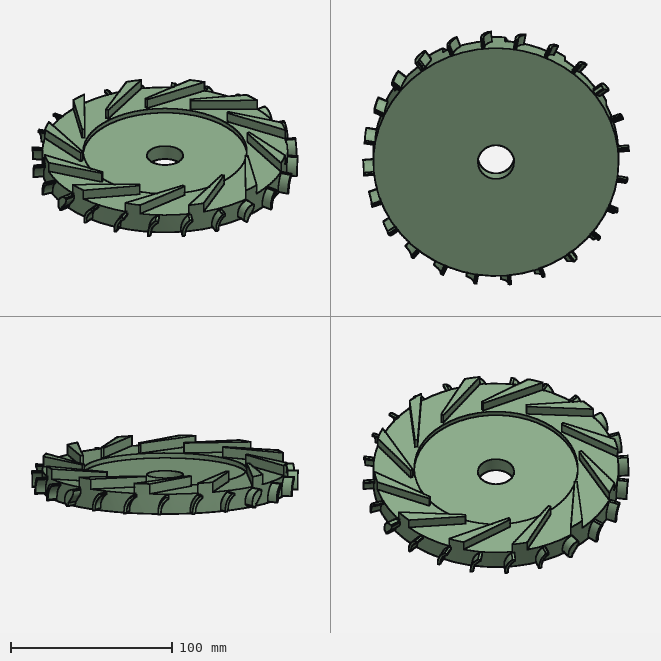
import cadquery as cq
import math

outer_radius = 82.5
disc_diameter = 152.4
disc_radius = disc_diameter / 2
disc_height = 12.7
bore_radius = 11.2
recess_radius = 50.9
recess_depth = 3.1

rib_count = 12
rib_top = 19.0
rib_start = 23.5
rib_offset = 48.4
rib_tip_width = 1.7
rib_taper = 8.5

blade_count = 24
blades_per_thick_blade = 6
blade_bottom = 0.8
blade_top = 11.9
blade_tip_side = 4.5
blade_root_overlap = 3.3

thin_left_side = -2.0
thin_foot_height = 1.7
thin_arc_radius = 11.9
thin_thickness = 1.8
thin_heel_chamfer = 0.8

thick_left_side = -3.3
thick_back_radius = 7.1
thick_tip_round_top = 11.0
thick_tip_round_end = (3.3, 7.5)
thick_front_foot = (0.0, 3.1)
thick_heel_front = (-0.3, 2.0)
thick_heel_width = 0.7
thick_heel_center = -1.2
thick_heel_bevel_height = 1.7


def make_disc():
    """Flat disc with a shallow round recess and a through bore."""
    disc = cq.Workplane("XY").circle(disc_radius).extrude(disc_height)
    recess = (
        cq.Workplane("XY")
        .workplane(offset=disc_height - recess_depth)
        .circle(recess_radius)
        .extrude(recess_depth)
    )
    bore = cq.Workplane("XY").circle(bore_radius).extrude(disc_height)
    return disc.cut(recess).cut(bore)


def make_rib():
    """One rib: a narrow tip that widens outwards and runs out past the rim."""
    reach = disc_radius - rib_start
    inner_edge = rib_offset - rib_tip_width
    outline = [
        (rib_start, rib_offset),
        (rib_start, inner_edge),
        (disc_radius, inner_edge - reach * math.tan(math.radians(rib_taper))),
        (disc_radius, rib_offset),
    ]
    return (
        cq.Workplane("XY")
        .workplane(offset=disc_height)
        .polyline(outline)
        .close()
        .extrude(rib_top - disc_height)
    )


def blade_sketch():
    """Plane for a blade outline on the -Y side, set a little inside the rim."""
    return cq.Workplane("XZ", origin=(0, blade_root_overlap - disc_radius, 0))


def extrude_blade(outline):
    """Extend a closed blade outline from inside the rim to the outer radius."""
    return outline.close().extrude(outer_radius - disc_radius + blade_root_overlap)


def make_thin_blade():
    """A curved strip, upright at its foot and leaning towards +X at its top."""
    center_x = thin_left_side + thin_arc_radius
    center_z = blade_bottom + thin_foot_height
    inner_radius = thin_arc_radius - thin_thickness

    def arc_point(radius, rise):
        return (center_x - math.sqrt(radius**2 - rise**2), center_z + rise)

    top_rise = blade_top - center_z
    tip_rise = math.sqrt(inner_radius**2 - (center_x - blade_tip_side) ** 2)
    right_side = thin_left_side + thin_thickness
    return extrude_blade(
        blade_sketch()
        .moveTo(thin_left_side, blade_bottom)
        .lineTo(thin_left_side, center_z)
        .threePointArc(
            arc_point(thin_arc_radius, top_rise / 2),
            arc_point(thin_arc_radius, top_rise),
        )
        .lineTo(blade_tip_side, blade_top)
        .lineTo(*arc_point(inner_radius, tip_rise))
        .threePointArc(
            arc_point(inner_radius, tip_rise / 2),
            arc_point(inner_radius, 0),
        )
        .lineTo(right_side, blade_bottom + thin_heel_chamfer)
        .lineTo(right_side - thin_heel_chamfer, blade_bottom)
    )


def make_thick_blade():
    """A leaf-shaped blade with a quarter-round back and a bevelled heel."""
    back_center_x = thick_left_side + thick_back_radius
    back_center_z = blade_top - thick_back_radius
    tip_chamfer = blade_tip_side - back_center_x
    diagonal = thick_back_radius * math.sqrt(0.5)
    return extrude_blade(
        blade_sketch()
        .moveTo(thick_left_side, blade_bottom + thick_heel_bevel_height)
        .lineTo(thick_left_side, back_center_z)
        .threePointArc(
            (back_center_x - diagonal, back_center_z + diagonal),
            (back_center_x, blade_top),
        )
        .lineTo(blade_tip_side, blade_top - tip_chamfer)
        .lineTo(blade_tip_side, thick_tip_round_top)
        .tangentArcPoint(thick_tip_round_end, relative=False)
        .lineTo(*thick_front_foot)
        .lineTo(*thick_heel_front)
        .lineTo(thick_heel_center + thick_heel_width / 2, blade_bottom)
        .lineTo(thick_heel_center - thick_heel_width / 2, blade_bottom)
    )


def turned(feature, index, count):
    """The feature turned about Z to one of a number of evenly spaced places."""
    return feature.rotate((0, 0, 0), (0, 0, 1), index * 360 / count)


rim_envelope = cq.Workplane("XY").circle(disc_radius).extrude(rib_top)
rib = make_rib()
thin_blade = make_thin_blade()
thick_blade = make_thick_blade()

result = make_disc()
for index in range(rib_count):
    result = result.union(turned(rib, index, rib_count))
result = result.intersect(rim_envelope)
for index in range(blade_count):
    blade = thin_blade if index % blades_per_thick_blade else thick_blade
    result = result.union(turned(blade, index, blade_count))